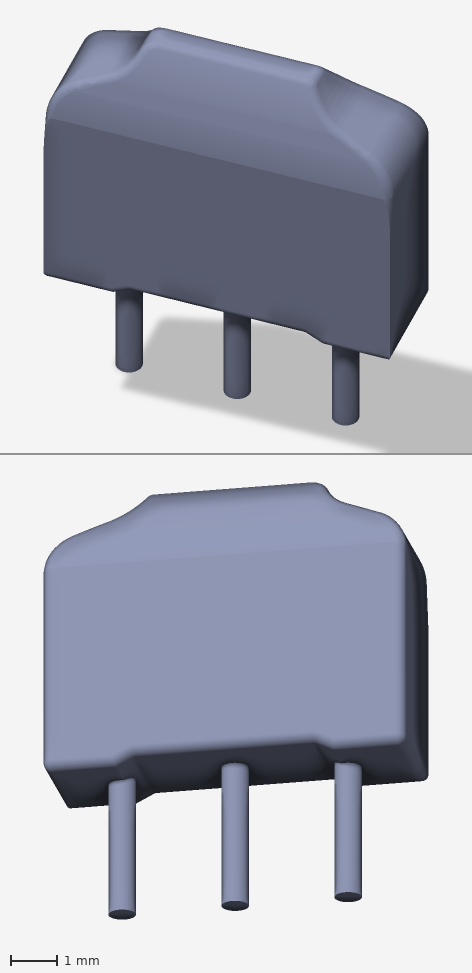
import cadquery as cq
import math

body_width = 8.0
body_depth = 2.54
body_height = 6.6
edge_radius = 0.2

shoulder_radius = 1.0
shoulder_base_z = 4.6
slope_angle = math.radians(23.4)
slope_end_x = 2.64
left_hollow_radius = 1.0
left_crown_radius = 0.43
right_hollow_radius = 1.5
right_crown_radius = 0.22
crown_flank_length = 0.07

dome_base_z = 4.66
dome_radius = 4.03
crown_depth = 0.58

recess_depth = 0.2
recess_mouth_half_width = 2.41
recess_floor_half_width = 2.01
recess_corner_radius = 0.2

pin_diameter = 0.6
pin_length = 3.0
pin_pitch = 2.5

half_width = body_width / 2
half_depth = body_depth / 2
half_crown = crown_depth / 2

margin = 0.01


def polar(center, radius, angle):
    """Point at a distance and angle from a center."""
    return (center[0] + radius * math.cos(angle), center[1] + radius * math.sin(angle))


def side_points(hollow_radius, crown_radius):
    """Outline points of the +X side, from the shoulder base up to the flat top."""
    normal_angle = math.pi / 2 - slope_angle

    shoulder_center = (half_width - shoulder_radius, shoulder_base_z)
    shoulder_start = (half_width, shoulder_base_z)
    shoulder_middle = polar(shoulder_center, shoulder_radius, normal_angle / 2)
    shoulder_end = polar(shoulder_center, shoulder_radius, normal_angle)

    slope_rise = (shoulder_end[0] - slope_end_x) * math.tan(slope_angle)
    slope_end = (slope_end_x, shoulder_end[1] + slope_rise)

    hollow_center = polar(slope_end, hollow_radius, normal_angle)
    radius_sum = hollow_radius + crown_radius
    center_distance = math.hypot(radius_sum, crown_flank_length)
    drop = hollow_center[1] - (body_height - crown_radius)
    crown_direction = math.pi + math.asin(drop / center_distance)
    hollow_end_angle = crown_direction + math.atan2(crown_flank_length, radius_sum)
    hollow_middle_angle = (normal_angle + math.pi + hollow_end_angle) / 2
    hollow_middle = polar(hollow_center, hollow_radius, hollow_middle_angle)
    hollow_end = polar(hollow_center, hollow_radius, hollow_end_angle)

    crown_center = polar(hollow_center, center_distance, crown_direction)
    crown_start_angle = hollow_end_angle - math.pi
    crown_start = polar(crown_center, crown_radius, crown_start_angle)
    crown_middle = polar(crown_center, crown_radius, (crown_start_angle + math.pi / 2) / 2)
    crown_end = (crown_center[0], body_height)

    return [
        shoulder_start, shoulder_middle, shoulder_end,
        slope_end, hollow_middle, hollow_end,
        crown_start, crown_middle, crown_end,
    ]


def make_outline_block(depth):
    """Top outline extruded along Y, centered on the body."""
    left = [(-x, z) for x, z in side_points(left_hollow_radius, left_crown_radius)]
    right = side_points(right_hollow_radius, right_crown_radius)[::-1]
    points = left + right
    outline = cq.Workplane("XZ").moveTo(-half_width, 0)
    for start, middle, end in zip(points[0::3], points[1::3], points[2::3]):
        outline = outline.lineTo(*start).threePointArc(middle, end)
    return outline.lineTo(half_width, 0).close().extrude(depth / 2, both=True)


def make_rounded_dome():
    """Domed block with a rounded rim, whose domed faces run on below as tangent flares.

    Trimming the flares to the flat front makes the rim rounding fade out down the front corners.
    """
    chord_y = half_depth - half_crown
    chord_z = body_height - dome_base_z
    chord = math.hypot(chord_y, chord_z)
    sagitta = dome_radius - math.sqrt(dome_radius**2 - (chord / 2) ** 2)
    flare_angle = math.atan2(chord_y, chord_z) - math.asin(chord / 2 / dome_radius)
    flare_half_depth = half_depth + dome_base_z * math.tan(flare_angle)

    dome = (
        cq.Workplane("YZ")
        .moveTo(-flare_half_depth, 0)
        .lineTo(flare_half_depth, 0)
        .lineTo(half_depth, dome_base_z)
        .sagittaArc((half_crown, body_height), -sagitta)
        .lineTo(-half_crown, body_height)
        .sagittaArc((-half_depth, dome_base_z), -sagitta)
        .close()
        .extrude(half_width, both=True)
    )
    block = make_outline_block(2 * flare_half_depth).intersect(dome)

    rim = [
        edge for edge in block.edges("not(|Y or <Z)").vals()
        if abs(edge.Center().z - dome_base_z) > margin
    ]
    return block.newObject(rim).fillet(edge_radius)


def make_envelope():
    """Upright block with flat front and back and rounded back corners."""
    return (
        cq.Workplane("XY")
        .rect(body_width, body_depth)
        .extrude(body_height)
        .edges("|Z and >Y")
        .fillet(edge_radius)
    )


def make_recess():
    """Channel across the underside, with sloped flanks and rounded inner corners."""
    return (
        cq.Workplane("XZ")
        .moveTo(-recess_mouth_half_width, 0)
        .lineTo(-recess_floor_half_width, recess_depth)
        .lineTo(recess_floor_half_width, recess_depth)
        .lineTo(recess_mouth_half_width, 0)
        .close()
        .extrude(half_depth, both=True)
        .edges("|Y and >Z")
        .fillet(recess_corner_radius)
    )


def make_pins():
    """Three equal round pins in a row, all reaching up to the floor of the recess."""
    pins = []
    for place in (-1, 0, 1):
        pin = (
            cq.Workplane("XY", origin=(place * pin_pitch, 0, -pin_length))
            .circle(pin_diameter / 2)
            .extrude(pin_length + recess_depth)
        )
        pins.append(pin)
    return pins


def round_underside(body):
    """Round the whole outer border of the underside, leaving the edges across the recess sharp."""
    low_corner = (-body_width, -body_depth, -margin)
    high_corner = (body_width, body_depth, recess_depth + margin)
    underside_zone = cq.selectors.BoxSelector(low_corner, high_corner, boundingbox=True)
    border = [
        edge for edge in body.edges(underside_zone).vals()
        if abs(edge.Center().y) > half_depth / 2 or abs(edge.Center().x) > half_width - edge_radius
    ]
    return body.newObject(border).fillet(edge_radius)


def make_body(pins):
    """Domed body with flat front, rounded back corners, underside recess and pin holes."""
    body = make_rounded_dome().intersect(make_envelope()).cut(make_recess())
    body = round_underside(body)
    for pin in pins:
        body = body.cut(pin)
    return body


pins = make_pins()
body = make_body(pins)
result = cq.Compound.makeCompound([body.val(), *[pin.val() for pin in pins]])